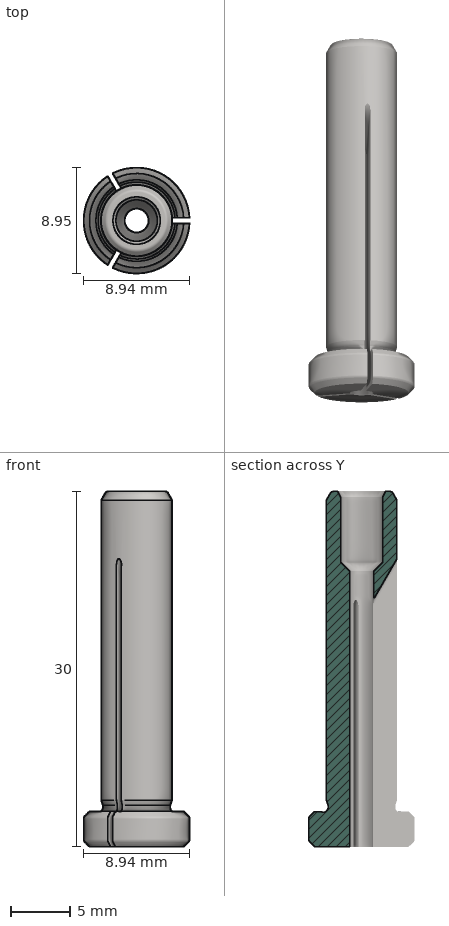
import cadquery as cq
import math

total_length = 30.0
head_diameter = 8.95
head_height = 3.0
shank_diameter = 6.0

head_chamfer = 0.5
rim_blend_radius = 0.25

relief_length = 0.95
relief_depth = 0.15
relief_entry_angle = 18.0
relief_corner_radius = 0.4
relief_face_depth = 0.07
relief_face_radius = 3.44

tip_taper_length = 0.75
tip_taper_angle = 30.0
tip_blend_radius = 0.28

through_bore_diameter = 2.0
wide_bore_diameter = 3.5
wide_bore_depth = 6.0
wide_bore_point_angle = 90.0
bore_mouth_widening = 0.25
bore_mouth_depth = 0.5

slot_count = 3
slot_width = 0.47
slot_top = 24.3
slot_end_angle = 60.0

head_radius = head_diameter / 2
shank_radius = shank_diameter / 2


def make_head():
    """Flat head with both rim edges chamfered and the chamfers blended into the rim."""
    blank = cq.Workplane("XY").circle(head_radius).extrude(head_height)
    chamfered = blank.edges("%CIRCLE").chamfer(head_chamfer)
    rim_edges = chamfered.edges(cq.selectors.RadiusNthSelector(-1))
    return rim_edges.fillet(rim_blend_radius)


def make_shank():
    """Plain shank standing on the head, tapered at its tip."""
    taper_inset = tip_taper_length * math.tan(math.radians(tip_taper_angle))
    blank = cq.Workplane("XY").circle(shank_radius).extrude(total_length)
    tapered = blank.faces(">Z").chamfer(tip_taper_length, taper_inset)
    return tapered.faces(">Z").edges().fillet(tip_blend_radius)


def make_relief():
    """Ring cut below the shank surface and slightly into the top face of the head."""
    groove_radius = shank_radius - relief_depth
    groove_floor = head_height - relief_face_depth
    relief_top = head_height + relief_length
    entry_run = relief_depth / math.tan(math.radians(relief_entry_angle))
    corner_mid_offset = relief_corner_radius * (1 - math.sqrt(0.5))
    profile = (
        cq.Workplane("XZ")
        .moveTo(shank_radius, relief_top)
        .lineTo(groove_radius, relief_top - entry_run)
        .lineTo(groove_radius, groove_floor + relief_corner_radius)
        .threePointArc(
            (groove_radius + corner_mid_offset, groove_floor + corner_mid_offset),
            (groove_radius + relief_corner_radius, groove_floor),
        )
        .lineTo(relief_face_radius, head_height)
        .lineTo(relief_face_radius, relief_top)
        .close()
    )
    return profile.revolve(360, (0, 0, 0), (0, 1, 0))


def make_bore():
    """Through bore, the wide bore with its conical bottom, and the tapered mouth."""
    through_radius = through_bore_diameter / 2
    wide_radius = wide_bore_diameter / 2
    wide_bottom = total_length - wide_bore_depth
    half_point_angle = math.radians(wide_bore_point_angle / 2)
    cone_height = (wide_radius - through_radius) / math.tan(half_point_angle)
    profile = cq.Workplane("XZ").polyline([
        (0, 0),
        (through_radius, 0),
        (through_radius, wide_bottom - cone_height),
        (wide_radius, wide_bottom),
        (wide_radius, total_length - bore_mouth_depth),
        (wide_radius + bore_mouth_widening, total_length),
        (0, total_length),
    ]).close()
    return profile.revolve(360, (0, 0, 0), (0, 1, 0))


def make_slot():
    """Radial slot toward +X whose half-round upper end slopes down toward the axis."""
    slope = math.radians(slot_end_angle)
    end_radius = slot_width / 2
    center_at_shank = slot_top - end_radius / math.cos(slope)
    center_at_axis = center_at_shank - shank_radius * math.tan(slope)
    center_at_rim = center_at_shank + (head_radius - shank_radius) * math.tan(slope)
    slab = (
        cq.Workplane("XZ")
        .polyline([
            (0, 0),
            (head_radius, 0),
            (head_radius, center_at_rim),
            (0, center_at_axis),
        ])
        .close()
        .extrude(end_radius, both=True)
    )
    rounded_end = cq.Workplane(cq.Solid.makeCylinder(
        end_radius,
        head_radius / math.cos(slope),
        cq.Vector(0, 0, center_at_axis),
        cq.Vector(math.cos(slope), 0, math.sin(slope)),
    ))
    return slab.union(rounded_end)


body = make_head().union(make_shank()).cut(make_relief()).cut(make_bore())
slot = make_slot()
for index in range(slot_count):
    body = body.cut(slot.rotate((0, 0, 0), (0, 0, 1), index * 360 / slot_count))

result = body